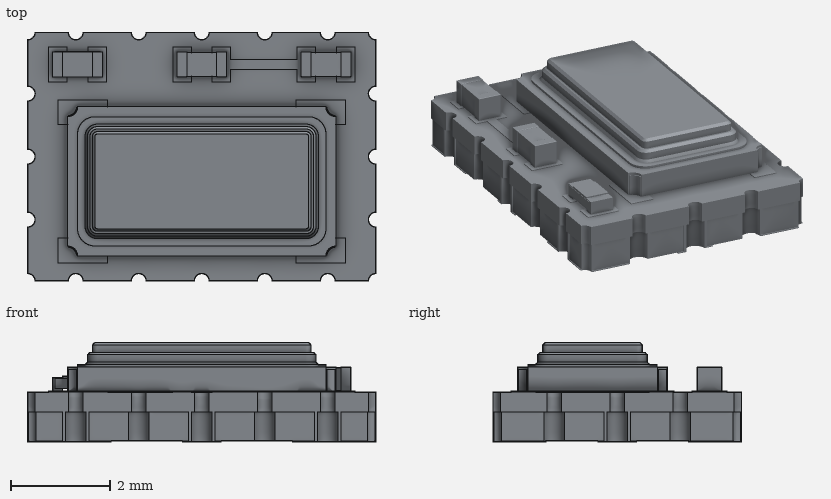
import cadquery as cq

length = 7.0
width = 5.0
height = 2.0
foil = 0.02
step = 0.05

layer_joint_z = 0.6
board_top = height / 2
pad_top = board_top + foil
upper_notch_radius = 0.15
lower_notch_radius = 0.2
corner_notch_radius = 0.15
notch_pitch = 1.27
plating_width = 0.525

corner_pad_length = 1.68
corner_pad_width = 1.065
middle_pad_width = 0.785

package_y = -0.5
package_length = 5.4
package_width = 3.01
package_top = 1.505
package_notch_radius = 0.2
bare_rim_height = 0.05
ring_length = 5.0
ring_width = 2.6
ring_corner_radius = 0.35
lid_length = 4.7
lid_width = 2.3
lid_corner_radius = 0.25
bevel_angle = 45
package_pad_length = 1.0
package_pad_width = 0.5
package_pad_overhang_x = 0.195
package_pad_overhang_y = 0.13

chip_row_y = 1.855
chip_spacing = 2.5
chip_length = 1.0
chip_width = 0.5
terminal_length = 0.2
chip_pad_span = 1.16
chip_pad_length = 0.37
chip_pad_width = 0.7
trace_width = 0.2
capacitor_top = 1.505
capacitor_inset = 0.0105
terminal_edge_radius = 0.0105
resistor_top = 1.32
resistor_terminal_top = 1.295
resistor_core_top = 1.275
resistor_flap = 0.05
resistor_core_overhang = 0.01


def block(size_x, size_y, z_low, z_high, x=0, y=0):
    """Box centred on (x, y) between two heights."""
    return cq.Workplane(origin=(x, y, z_low)).rect(size_x, size_y).extrude(z_high - z_low)


def posts(radius, points, z_low, z_high):
    """Round posts between two heights, used as cutters."""
    return cq.Workplane(origin=(0, 0, z_low)).pushPoints(points).circle(radius).extrude(z_high - z_low)


def corners(size_x, size_y, y=0):
    """The four corner points of a rectangle centred on (0, y)."""
    return [(sx * size_x / 2, y + sy * size_y / 2) for sx in (-1, 1) for sy in (-1, 1)]


def rounded_tier(size_x, size_y, radius, z_low, z_high, taper=0):
    """Rounded rectangle over the package centre, drawn in upward by the taper angle."""
    outline = cq.Sketch().rect(size_x, size_y).vertices().fillet(radius)
    return cq.Workplane(origin=(0, package_y, z_low)).placeSketch(outline).extrude(z_high - z_low, taper=taper)


front_back_notches = [(i * notch_pitch, side * width / 2) for i in range(-2, 3) for side in (-1, 1)]
end_notches = [(side * length / 2, i * notch_pitch) for i in range(-1, 2) for side in (-1, 1)]
edge_notches = front_back_notches + end_notches


def make_board():
    upper = block(length, width, layer_joint_z, board_top)
    upper_notches = edge_notches + corners(length, width)
    upper = upper.cut(posts(upper_notch_radius, upper_notches, layer_joint_z, board_top))
    lower = block(length - 2 * foil, width - 2 * foil, foil, layer_joint_z)

    for x, y in corners(length - corner_pad_length, width - corner_pad_width):
        lower = lower.union(block(corner_pad_length, corner_pad_width, 0, foil, x, y))
    for side in (-1, 1):
        pad_y = side * (width - corner_pad_width) / 2
        lower = lower.union(block(middle_pad_width, corner_pad_width, 0, foil, 0, pad_y))
        pad_x = side * (length - corner_pad_width) / 2
        lower = lower.union(block(corner_pad_width, middle_pad_width, 0, foil, pad_x, 0))
    for i in (-2, 0, 2):
        lower = lower.union(block(plating_width, width, foil, layer_joint_z, i * notch_pitch))
    lower = lower.union(block(length, plating_width, foil, layer_joint_z))

    lower = lower.cut(posts(lower_notch_radius, edge_notches, 0, layer_joint_z))
    inner_corners = corners(length - 2 * foil, width - 2 * foil)
    lower = lower.cut(posts(corner_notch_radius, inner_corners, 0, layer_joint_z))
    return upper.union(lower)


def make_package():
    package_corners = corners(package_length, package_width, package_y)
    body = block(package_length, package_width, pad_top, package_top, 0, package_y)
    body = body.cut(posts(package_notch_radius, package_corners, pad_top, package_top))

    plated_top = package_top - bare_rim_height
    plating = block(package_length - 2 * foil, package_width - 2 * foil, pad_top, plated_top, 0, package_y)
    plating = plating.cut(posts(package_notch_radius - foil, package_corners, pad_top, plated_top))
    body = body.union(plating)

    pad_points = corners(
        package_length + 2 * package_pad_overhang_x - package_pad_length,
        package_width + 2 * package_pad_overhang_y - package_pad_width,
        package_y,
    )
    for x, y in pad_points:
        body = body.union(block(package_pad_length, package_pad_width, board_top, pad_top, x, y))
    return body


def make_lid():
    ring_top = package_top + step
    wall_height = (height - ring_top - 3 * step) / 2
    lid = rounded_tier(ring_length, ring_width, ring_corner_radius, package_top, ring_top)

    tiers = [
        (0, step, bevel_angle),
        (step, wall_height, 0),
        (step, step, bevel_angle),
        (3 * step, wall_height, 0),
        (3 * step, step, bevel_angle),
    ]
    z = ring_top
    for setback, tier_height, taper in tiers:
        lid = lid.union(
            rounded_tier(
                lid_length - 2 * setback,
                lid_width - 2 * setback,
                lid_corner_radius - setback,
                z,
                z + tier_height,
                taper,
            )
        )
        z += tier_height
    return lid


def chip_ends(x, span, size):
    """Centres in X of two end pieces of a given size that span a chip at x."""
    offset = (span - size) / 2
    return x - offset, x + offset


def make_chip_pads(x):
    left, right = chip_ends(x, chip_pad_span, chip_pad_length)
    pads = block(chip_pad_length, chip_pad_width, board_top, pad_top, left, chip_row_y)
    return pads.union(block(chip_pad_length, chip_pad_width, board_top, pad_top, right, chip_row_y))


def make_capacitor(x):
    body = block(
        chip_length - 2 * terminal_length,
        chip_width - 2 * capacitor_inset,
        pad_top + capacitor_inset,
        capacitor_top - capacitor_inset,
        x,
        chip_row_y,
    )
    for end_x in chip_ends(x, chip_length, terminal_length):
        terminal = block(terminal_length, chip_width, pad_top, capacitor_top, end_x, chip_row_y)
        body = body.union(terminal.edges("not <Z").fillet(terminal_edge_radius))
    return body.union(make_chip_pads(x))


def make_resistor(x):
    core_length = chip_length - 2 * resistor_flap
    core_width = chip_width + 2 * resistor_core_overhang
    core = block(core_length, core_width, pad_top + resistor_flap, resistor_core_top, x, chip_row_y)
    coat_length = chip_length - 2 * terminal_length
    body = core.union(block(coat_length, chip_width, resistor_core_top, resistor_top, x, chip_row_y))
    for end_x in chip_ends(x, chip_length, terminal_length):
        terminal = block(terminal_length, chip_width, pad_top, resistor_terminal_top, end_x, chip_row_y)
        body = body.union(terminal)
    return body.union(make_chip_pads(x))


def make_trace():
    """Conductor joining the facing pads of the two capacitors."""
    trace_length = chip_spacing - chip_pad_span + chip_pad_length
    return block(trace_length, trace_width, board_top, pad_top, chip_spacing / 2, chip_row_y)


result = (
    make_board()
    .union(make_package())
    .union(make_lid())
    .union(make_resistor(-chip_spacing))
    .union(make_capacitor(0))
    .union(make_capacitor(chip_spacing))
    .union(make_trace())
)